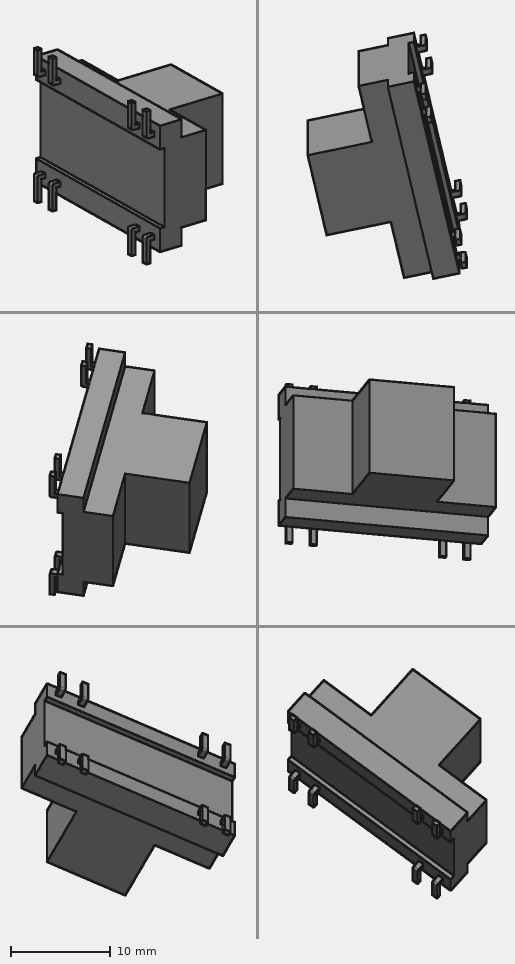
import cadquery as cq

length = 21.2
block_height = 10.0
tower_width = 8.84
tower_depth = 6.63
base_depth = 5.2

rail_height = 2.63
rail_depth = 2.7
rail_span = 13.99
rail_step = 0.53

pin_width = 0.64
pin_thickness = 0.5
pin_reach = 1.0
pin_span = 16.9
pin_length = 3.0
pin_bend_radius = 0.25
inner_pin_x = 6.75
outer_pin_x = 9.3

total_depth = tower_depth + base_depth + rail_step + pin_reach
tower_back_y = total_depth / 2
base_back_y = tower_back_y - tower_depth
base_front_y = base_back_y - base_depth
rail_front_y = base_front_y - rail_step
pin_front_y = rail_front_y - pin_reach


def block(width, front_y, back_y, bottom_z, height):
    """Box centred on X, placed by its front and back faces and its bottom."""
    return cq.Workplane("XY").box(
        width, back_y - front_y, height, centered=(True, False, False)
    ).translate((0, front_y, bottom_z))


def upper_pin(center_x):
    """Pin that leaves the upper rail and bends upward."""
    top_z = pin_span / 2
    bottom_z = top_z - pin_length
    foot = block(pin_width, pin_front_y, rail_front_y, bottom_z, pin_thickness)
    leg = block(pin_width, pin_front_y, pin_front_y + pin_thickness, bottom_z, pin_length)
    pin = foot.union(leg).edges("|X and <Y and <Z").fillet(pin_bend_radius)
    return pin.translate((center_x, 0, 0))


base = block(length, base_front_y, base_back_y, -block_height / 2, block_height)
tower = block(tower_width, base_back_y, tower_back_y, -block_height / 2, block_height)
upper_rail = block(
    length, rail_front_y, rail_front_y + rail_depth, rail_span / 2 - rail_height, rail_height
)

upper_parts = upper_rail
for pin_x in (-outer_pin_x, -inner_pin_x, inner_pin_x, outer_pin_x):
    upper_parts = upper_parts.union(upper_pin(pin_x))

result = base.union(tower).union(upper_parts).union(upper_parts.mirror("XY"))